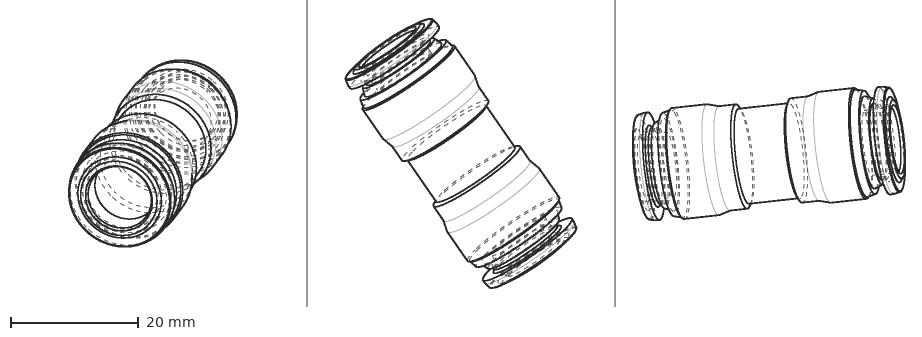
import cadquery as cq

length = 41.0
half_length = length / 2
body_diameter = 17.5

waist_radius = 7.5
shoulder_radius = 8.25
body_radius = body_diameter / 2
body_taper_radius = 8.5
body_end_radius = 8.15

sleeve_inner_radius = 7.3
sleeve_outer_radius = 6.8
neck_radius = 6.03
rim_radius = 8.5
rim_taper_radius = 8.3
rim_face_radius = 8.1
nose_base_radius = 6.75
nose_tip_radius = 6.2

nose_depth = 0.4
rim_edge_depth = 0.55
rim_taper_depth = 1.5
rim_back_depth = 2.05
neck_chamfer = 0.4
neck_end_depth = 3.1
body_end_depth = 4.43
body_taper_depth = 5.75
body_start_depth = 5.95
body_stop_depth = 11.55
shoulder_start_depth = 13.35
shoulder_stop_depth = 16.1
waist_depth = 16.5

bore_radius = 5.12
bore_mouth_radius = 5.4
bore_depth = 4.6
bore_chamfer_depth = 0.5


def half_coupling():
    """Revolve the -Y half, from its nose tip to the middle of the waist."""
    profile = (
        cq.Workplane("XY")
        .moveTo(0, bore_depth)
        .lineTo(bore_radius, bore_depth)
        .lineTo(bore_radius, bore_chamfer_depth)
        .lineTo(bore_mouth_radius, 0)
        .lineTo(nose_tip_radius, 0)
        .lineTo(nose_base_radius, nose_depth)
        .lineTo(rim_face_radius, nose_depth)
        .lineTo(rim_taper_radius, rim_edge_depth)
        .lineTo(rim_radius, rim_taper_depth)
        .lineTo(rim_radius, rim_back_depth)
        .lineTo(neck_radius + neck_chamfer, rim_back_depth)
        .lineTo(neck_radius, rim_back_depth + neck_chamfer)
        .lineTo(neck_radius, neck_end_depth)
        .lineTo(sleeve_outer_radius, neck_end_depth)
        .lineTo(sleeve_inner_radius, body_end_depth)
        .lineTo(body_end_radius, body_end_depth)
        .lineTo(body_taper_radius, body_taper_depth)
        .lineTo(body_radius, body_start_depth)
        .lineTo(body_radius, body_stop_depth)
        .lineTo(shoulder_radius, shoulder_start_depth)
        .lineTo(shoulder_radius, shoulder_stop_depth)
        .lineTo(waist_radius, waist_depth)
        .lineTo(waist_radius, half_length)
        .lineTo(0, half_length)
        .close()
    )
    solid = profile.revolve(360, (0, 0, 0), (0, 1, 0))
    return solid.translate((0, -half_length, 0))


front_half = half_coupling()
result = front_half.union(front_half.mirror("XZ")).clean()